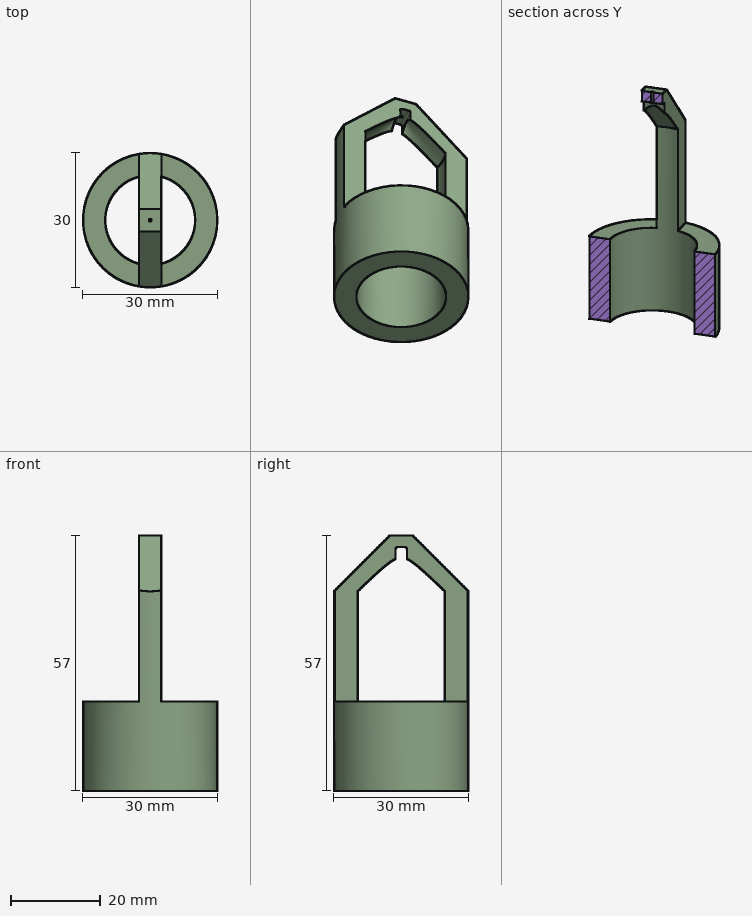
import cadquery as cq

total_height = 57.0
outer_diameter = 30.0
bore_diameter = 20.0
ring_height = 20.0
arch_width = 5.0
cord_hole_diameter = 0.5
slot_width = 2.5
slot_top_height = 54.4
slot_corner_radius = 0.5

outer_radius = outer_diameter / 2
bore_radius = bore_diameter / 2
roof_half_flat = arch_width / 2
eaves_height = total_height - (outer_radius - roof_half_flat)
cone_apex_height = eaves_height + bore_radius


def make_ring():
    return cq.Workplane("XY").circle(outer_radius).extrude(ring_height)


def make_arch():
    """Flat gabled bar across the ring, rounded to the ring's outer cylinder."""
    gable = (
        cq.Workplane("YZ")
        .moveTo(-outer_radius, 0)
        .lineTo(outer_radius, 0)
        .lineTo(outer_radius, eaves_height)
        .lineTo(roof_half_flat, total_height)
        .lineTo(-roof_half_flat, total_height)
        .lineTo(-outer_radius, eaves_height)
        .close()
        .extrude(arch_width / 2, both=True)
    )
    envelope = cq.Workplane("XY").circle(outer_radius).extrude(total_height)
    return gable.intersect(envelope)


def make_hollow():
    """Bore through the ring, closed above by a 45 degree cone."""
    return (
        cq.Workplane("XZ")
        .lineTo(bore_radius, 0)
        .lineTo(bore_radius, eaves_height)
        .lineTo(0, cone_apex_height)
        .close()
        .revolve(360, (0, 0, 0), (0, 1, 0))
    )


def make_peak_slot():
    """Slot across the peak with rounded top corners, opening into the cone."""
    slot_height = slot_top_height - eaves_height
    return (
        cq.Workplane("XY")
        .workplane(offset=eaves_height)
        .rect(arch_width, slot_width)
        .extrude(slot_height)
        .edges("|X and >Z")
        .fillet(slot_corner_radius)
    )


def make_cord_hole():
    return cq.Workplane("XY").circle(cord_hole_diameter / 2).extrude(total_height)


body = make_ring().union(make_arch())
result = body.cut(make_hollow()).cut(make_peak_slot()).cut(make_cord_hole())